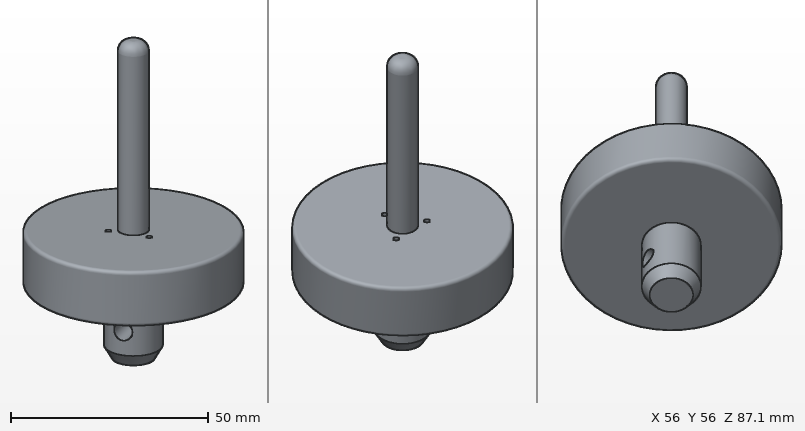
import cadquery as cq
import math

disc_diameter = 56.0
disc_thickness = 15.1
disc_edge_radius = 1.0

pin_diameter = 8.0
pin_length = 52.0
pin_tip_radius = 3.0

shank_diameter = 15.0
shank_length = 20.0
taper_inset = 2.0
taper_angle = 30.0
taper_length = taper_inset / math.tan(math.radians(taper_angle))

cross_hole_diameter = 5.0
cross_hole_height_above_end = 10.0

small_hole_diameter = 1.5
small_hole_depth = 5.0
small_hole_count = 3
small_hole_circle_radius = 6.4
small_hole_start_angle = 90.0


def make_disc():
    disc = cq.Workplane("XY").circle(disc_diameter / 2).extrude(disc_thickness)
    return disc.edges().fillet(disc_edge_radius)


def make_pin():
    disc_top = cq.Workplane("XY").workplane(offset=disc_thickness)
    pin = disc_top.circle(pin_diameter / 2).extrude(pin_length)
    return pin.faces(">Z").edges().fillet(pin_tip_radius)


def make_shank():
    radius = shank_diameter / 2
    half_profile = [
        (0, 0),
        (radius, 0),
        (radius, taper_length - shank_length),
        (radius - taper_inset, -shank_length),
        (0, -shank_length),
    ]
    return cq.Workplane("XZ").polyline(half_profile).close().revolve(360, (0, 0, 0), (0, 1, 0))


def make_cross_hole():
    hole_z = cross_hole_height_above_end - shank_length
    hole = cq.Workplane("XZ").center(0, hole_z).circle(cross_hole_diameter / 2)
    return hole.extrude(shank_diameter, both=True)


def make_small_holes():
    return (
        cq.Workplane("XY")
        .workplane(offset=disc_thickness)
        .polarArray(small_hole_circle_radius, small_hole_start_angle, 360, small_hole_count)
        .circle(small_hole_diameter / 2)
        .extrude(-small_hole_depth)
    )


body = make_disc().union(make_pin()).union(make_shank())
result = body.cut(make_cross_hole()).cut(make_small_holes())